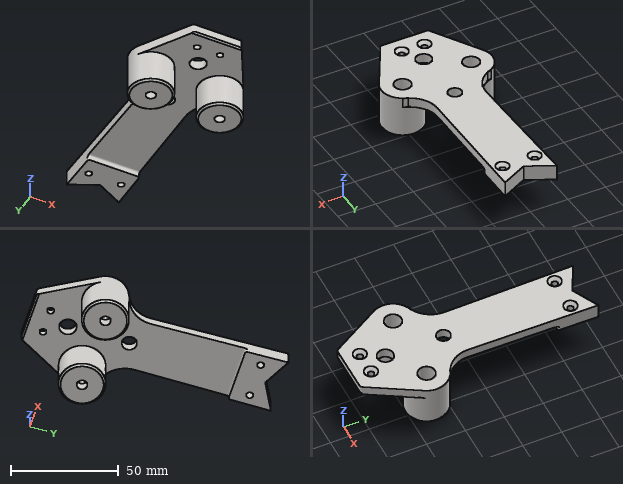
import cadquery as cq
import math

LENGTH = 122.0
PLATE_THICKNESS = 5.1
FRONT_HALF_WIDTH = 12.7
FRONT_CORNER_RADIUS = 1.8
FRONT_CHAMFER = 0.9
TAIL_HALF_WIDTH = 13.8
NECK_HALF_WIDTH = 13.0
NECK_Y = 55.2
NECK_RADIUS = 14.3
NOTCH_Y = 115.0

POST_X = 18.2
POST_Y = 31.5
POST_RADIUS = 11.0
POST_BOTTOM = -22.2
POST_CHAMFER = 1.0
POST_BORE_DIAMETER = 8.5
POST_BORE_DEPTH = 17.1
POST_HOLE_DIAMETER = 4.9

PAD_THICKNESS = 8.0
PAD_LENGTH = 20.9
PAD_RADIUS = 1.1

SCREW_DIAMETER = 3.2
SCREW_HEAD_DIAMETER = 6.7
SCREW_HEAD_ANGLE = 90
SCREW_POINTS = [(-6.04, 8.7), (6.04, 8.7), (-8.5, 110.1), (8.5, 110.1)]
CENTER_HOLES = [(18.9, 8.0), (48.8, 7.0)]

MARGIN = 6.1


def polar(center, radius, angle):
    """Point at an angle, in radians, on a circle."""
    return (center[0] + radius * math.cos(angle), center[1] + radius * math.sin(angle))


def mirrored(point):
    return (-point[0], point[1])


def plate_outline():
    """Closed plate outline whose shoulder arcs are tangent to their neighbours."""
    post = (POST_X, POST_Y)
    corner = (FRONT_HALF_WIDTH, 0)
    neck = (NECK_HALF_WIDTH, NECK_Y)
    neck_center = (NECK_HALF_WIDTH + NECK_RADIUS, NECK_Y)

    reach = math.dist(corner, post)
    toward_corner = math.atan2(corner[1] - POST_Y, corner[0] - POST_X)
    low_angle = toward_corner + math.acos(POST_RADIUS / reach)

    spacing = math.dist(post, neck_center)
    toward_neck = math.atan2(neck_center[1] - POST_Y, neck_center[0] - POST_X)
    high_angle = toward_neck + math.acos((POST_RADIUS + NECK_RADIUS) / spacing)

    shoulder_low = polar(post, POST_RADIUS, low_angle)
    shoulder_mid = polar(post, POST_RADIUS, 0)
    shoulder_high = polar(post, POST_RADIUS, high_angle)
    neck_low = polar(neck_center, NECK_RADIUS, high_angle + math.pi)
    neck_mid = polar(neck_center, NECK_RADIUS, (high_angle + 2 * math.pi) / 2)
    tail = (TAIL_HALF_WIDTH, LENGTH)

    return (
        cq.Workplane("XY")
        .moveTo(*corner)
        .lineTo(*shoulder_low)
        .threePointArc(shoulder_mid, shoulder_high)
        .lineTo(*neck_low)
        .threePointArc(neck_mid, neck)
        .lineTo(*tail)
        .lineTo(0, NOTCH_Y)
        .lineTo(*mirrored(tail))
        .lineTo(*mirrored(neck))
        .threePointArc(mirrored(neck_mid), mirrored(neck_low))
        .lineTo(*mirrored(shoulder_high))
        .threePointArc(mirrored(shoulder_mid), mirrored(shoulder_low))
        .lineTo(*mirrored(corner))
        .close()
    )


def pad_relief():
    """Body removed below the plate, leaving only the tail pad."""
    pad_start = LENGTH - PAD_LENGTH
    taper = (TAIL_HALF_WIDTH - NECK_HALF_WIDTH) / (LENGTH - NECK_Y)
    pad_end = LENGTH + 2 * MARGIN
    start_half_width = TAIL_HALF_WIDTH - taper * PAD_LENGTH
    end_half_width = TAIL_HALF_WIDTH + taper * (pad_end - LENGTH)
    height = PAD_THICKNESS - PLATE_THICKNESS + MARGIN
    bottom = cq.Workplane("XY").workplane(offset=-PLATE_THICKNESS - height)

    pad = (
        bottom.polyline([
            (-start_half_width, pad_start),
            (start_half_width, pad_start),
            (end_half_width, pad_end),
            (-end_half_width, pad_end),
        ])
        .close()
        .extrude(height)
        .edges("|Z and <Y")
        .fillet(PAD_RADIUS)
    )
    half_width = POST_X + POST_RADIUS + MARGIN
    block = (
        bottom.moveTo(-half_width, -MARGIN)
        .lineTo(half_width, -MARGIN)
        .lineTo(half_width, LENGTH + MARGIN)
        .lineTo(-half_width, LENGTH + MARGIN)
        .close()
        .extrude(height)
    )
    rim = cq.selectors.BoxSelector(
        (-half_width + MARGIN, 0, -PLATE_THICKNESS - PAD_RADIUS),
        (half_width - MARGIN, LENGTH + MARGIN / 2, PAD_RADIUS - PLATE_THICKNESS),
    )
    return block.cut(pad).faces(">Z").edges(rim).fillet(PAD_RADIUS)


def front_chamfer():
    """Wedge along the lower front edge."""
    width = 2 * (FRONT_HALF_WIDTH + MARGIN)
    return (
        cq.Workplane("YZ")
        .polyline([
            (0, -PLATE_THICKNESS),
            (FRONT_CHAMFER, -PLATE_THICKNESS),
            (0, FRONT_CHAMFER - PLATE_THICKNESS),
        ])
        .close()
        .extrude(width / 2, both=True)
    )


def plate():
    body = plate_outline().extrude(-PAD_THICKNESS)
    body = body.edges("|Z and <Y").fillet(FRONT_CORNER_RADIUS)
    return body.cut(pad_relief()).cut(front_chamfer())


def posts():
    return (
        cq.Workplane("XY")
        .pushPoints([(-POST_X, POST_Y), (POST_X, POST_Y)])
        .circle(POST_RADIUS)
        .extrude(POST_BOTTOM)
        .faces("<Z")
        .edges()
        .chamfer(POST_CHAMFER)
    )


def drill(body):
    """Post bores, countersunk screw holes and plain centre holes."""
    top = cq.Workplane("XY")
    body = (
        body.copyWorkplane(top)
        .pushPoints([(-POST_X, POST_Y), (POST_X, POST_Y)])
        .cboreHole(POST_HOLE_DIAMETER, POST_BORE_DIAMETER, POST_BORE_DEPTH)
    )
    body = (
        body.copyWorkplane(top)
        .pushPoints(SCREW_POINTS)
        .cskHole(SCREW_DIAMETER, SCREW_HEAD_DIAMETER, SCREW_HEAD_ANGLE)
    )
    for y, diameter in CENTER_HOLES:
        body = body.copyWorkplane(top).pushPoints([(0, y)]).hole(diameter)
    return body


result = drill(plate().union(posts()))